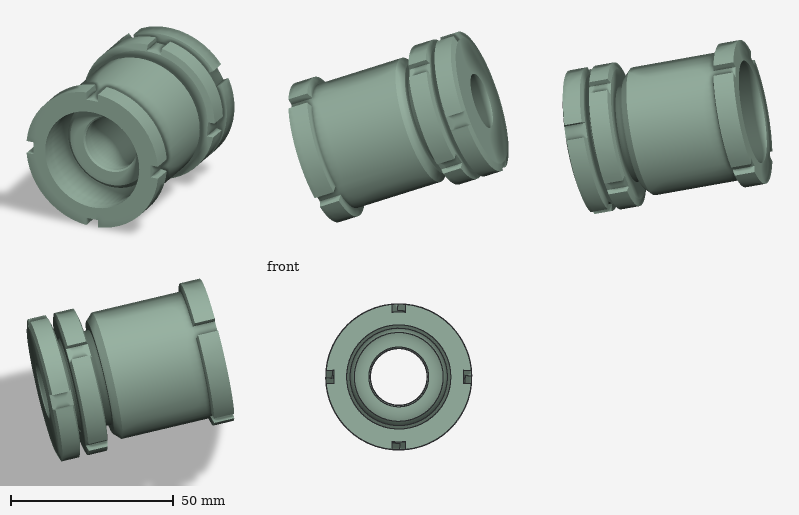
import cadquery as cq


rim_radius = 22.5
slot_count = 4
slot_overcut = 0.55

housing_length = 37.05
housing_radius = 20.0
housing_end_chamfer = 2.2
flange_thickness = 7.0
flange_bevel_height = 0.65
flange_slot_width = 4.0
flange_slot_floor = 19.95
housing_bore_radius = 16.05
housing_bore_depth = 20.0

total_length = 55.1
stem_start = 12.95
thread_radius = 15.0
thread_chamfer = 1.3
neck_radius = 13.85
thread_end = 47.25
stem_bore_radius = 8.7
stem_bore_chamfer = 0.5
head_thickness = 6.8
head_bevel_radius = 20.2
head_bevel_height = 0.65
head_slot_floor = 20.05
head_slot_angle = 31.0

nut_start = 39.7
nut_thickness = 7.0
nut_bevel_radius = 20.35
nut_bevel_height = 0.55
nut_slot_floor = 20.4
nut_slot_angle = -5.5

spanner_slot_width = 4.8


def revolve_about_y(points):
    """Solid of revolution about Y from a closed outline of (radius, y) points."""
    return cq.Workplane("XY").polyline(points).close().revolve(360, (0, 0, 0), (0, 1, 0))


def rim_slots(width, floor_radius, start, length, first_angle=0.0):
    """Cutters for flat-bottomed slots around a rim.

    Angles turn from +Z towards -X; the cutters run from Y = start over the given length.
    """
    height = rim_radius - floor_radius + slot_overcut
    cutters = cq.Workplane("XY")
    for index in range(slot_count):
        angle = first_angle + index * 360.0 / slot_count
        cutter = (
            cq.Workplane("XY")
            .box(width, length, height, centered=(True, False, False))
            .translate((0, start, floor_radius))
            .rotate((0, 0, 0), (0, 1, 0), -angle)
        )
        cutters = cutters.add(cutter)
    return cutters.combine()


def make_housing():
    body = revolve_about_y([
        (housing_bore_radius, 0),
        (rim_radius, 0),
        (rim_radius, flange_thickness - flange_bevel_height),
        (housing_radius, flange_thickness),
        (housing_radius, housing_length - housing_end_chamfer),
        (housing_radius - housing_end_chamfer, housing_length),
        (thread_radius, housing_length),
        (thread_radius, housing_bore_depth),
        (housing_bore_radius, housing_bore_depth),
    ])
    return body.cut(rim_slots(flange_slot_width, flange_slot_floor, 0, flange_thickness))


def make_stem():
    head_start = total_length - head_thickness
    body = revolve_about_y([
        (stem_bore_radius + stem_bore_chamfer, stem_start),
        (thread_radius - thread_chamfer, stem_start),
        (thread_radius, stem_start + thread_chamfer),
        (thread_radius, thread_end - (thread_radius - neck_radius)),
        (neck_radius, thread_end),
        (neck_radius, head_start),
        (head_bevel_radius, head_start),
        (rim_radius, head_start + head_bevel_height),
        (rim_radius, total_length - head_bevel_height),
        (head_bevel_radius, total_length),
        (stem_bore_radius, total_length),
        (stem_bore_radius, stem_start + stem_bore_chamfer),
    ])
    return body.cut(
        rim_slots(spanner_slot_width, head_slot_floor, head_start, head_thickness, head_slot_angle)
    )


def make_lock_nut():
    nut_end = nut_start + nut_thickness
    body = revolve_about_y([
        (thread_radius, nut_start),
        (nut_bevel_radius, nut_start),
        (rim_radius, nut_start + nut_bevel_height),
        (rim_radius, nut_end - nut_bevel_height),
        (nut_bevel_radius, nut_end),
        (thread_radius, nut_end),
    ])
    return body.cut(
        rim_slots(spanner_slot_width, nut_slot_floor, nut_start, nut_thickness, nut_slot_angle)
    )


housing = make_housing()
stem = make_stem()
lock_nut = make_lock_nut()

result = cq.Compound.makeCompound([housing.val(), stem.val(), lock_nut.val()])